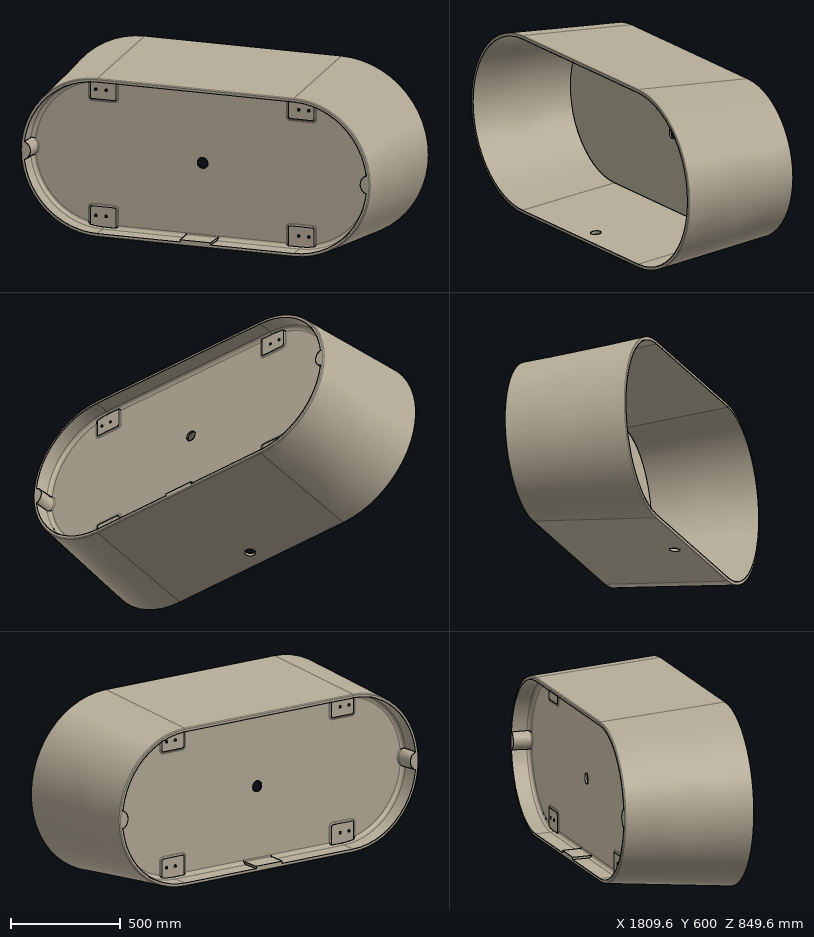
import cadquery as cq
import math

height = 600.0
straight_length = 960.0
rim_radius = 425.0
flare_angle = 5.0
flare = math.tan(math.radians(flare_angle))
rim_round = 2.0
base_round = 5.0
base_y = -height / 2
rim_y = height / 2
base_radius = rim_radius - height * flare

wall = 16.0
floor_thickness = 10.0
recess_depth = 90.0
recess_draft = 2.0
recess_round = 18.0
floor_y = base_y + recess_depth
basin_floor_y = floor_y + floor_thickness
recess_floor_radius = base_radius - wall - recess_depth * math.tan(math.radians(recess_draft))

drain_diameter = 50.0
overflow_diameter = 48.0
overflow_y = 215.0
overflow_cut_depth = 3 * wall

foot_round = 5.0
pad_foot_round = 10.0
same_place_tolerance = 0.1

pad_inner_x = 412.0
pad_outer_x = 555.0
pad_inner_z = 244.0
pad_outer_z = 400.0
pad_height = 4.0
pad_side_angle = 65.0
pad_corner_radius = 18.0
screw_hole_diameter = 11.0
screw_hole_depth = 8.0
screw_hole_xs = (470.0, 520.0)
screw_hole_z = 297.0

post_tip_radius = 45.0
post_center_x = 850.0
block_tip_width = 148.0
block_tip_z = -346.0
tip_growth = recess_depth * math.tan(math.radians(recess_draft))


def along_y(y):
    """Workplane at height y whose local axes are X and Z; extrusion runs toward -Y."""
    return cq.Workplane("XZ", origin=(0, y, 0))


def tapered_racetrack(y_start, y_end, end_radius, taper):
    """Solid racetrack from y_end down to y_start, narrowing toward -Y by the taper angle."""
    diameter = 2 * end_radius
    return (
        along_y(y_end)
        .slot2D(straight_length + diameter, diameter)
        .extrude(y_end - y_start, taper=taper)
    )


def make_shell():
    shell = tapered_racetrack(base_y, rim_y, rim_radius, flare_angle)
    shell = shell.faces(">Y").edges().fillet(rim_round)
    return shell.faces("<Y").edges().fillet(base_round)


def make_basin():
    inner_rim_radius = rim_radius - wall / math.cos(math.radians(flare_angle))
    return tapered_racetrack(basin_floor_y, rim_y, inner_rim_radius, flare_angle)


def stand_on_floor(feature, center_x, center_z, width, depth, radius):
    """Fillet the foot of a feature, using a slab that lies inside the floor."""
    margin = 2 * radius
    slab = (
        along_y(basin_floor_y)
        .center(center_x, center_z)
        .rect(width + 2 * margin, depth + 2 * margin)
        .extrude(floor_thickness)
    )
    foot_centers = [edge.Center() for edge in feature.faces(">Y").edges().vals()]
    joined = slab.union(feature)
    foot_edges = [
        edge
        for edge in joined.edges().vals()
        if any((edge.Center() - center).Length < same_place_tolerance for center in foot_centers)
    ]
    return joined.newObject(foot_edges).fillet(radius)


def make_post(x_side):
    center_x = x_side * post_center_x
    foot_radius = post_tip_radius + tip_growth
    post = (
        along_y(floor_y)
        .center(center_x, 0)
        .circle(foot_radius)
        .extrude(recess_depth, taper=recess_draft)
    )
    return stand_on_floor(post, center_x, 0, 2 * foot_radius, 2 * foot_radius, foot_round)


def make_block():
    width = block_tip_width + 2 * tip_growth
    top_z = block_tip_z + tip_growth
    depth = base_radius + top_z
    center_z = top_z - depth / 2
    block = (
        along_y(floor_y)
        .center(0, center_z)
        .rect(width, depth)
        .extrude(recess_depth, taper=recess_draft)
    )
    return stand_on_floor(block, 0, center_z, width, depth, foot_round)


def make_pad(x_side, z_side):
    width = pad_outer_x - pad_inner_x
    depth = pad_outer_z - pad_inner_z
    center_x = x_side * (pad_inner_x + pad_outer_x) / 2
    center_z = z_side * (pad_inner_z + pad_outer_z) / 2
    outline = cq.Sketch().rect(width, depth).vertices().fillet(pad_corner_radius)
    pad = (
        along_y(floor_y)
        .center(center_x, center_z)
        .placeSketch(outline)
        .extrude(pad_height, taper=pad_side_angle)
    )
    return stand_on_floor(pad, center_x, center_z, width, depth, pad_foot_round)


def make_screw_holes(x_side, z_side):
    return (
        along_y(floor_y - pad_height + screw_hole_depth)
        .pushPoints([(x_side * x, z_side * screw_hole_z) for x in screw_hole_xs])
        .circle(screw_hole_diameter / 2)
        .extrude(screw_hole_depth)
    )


def make_recess():
    """Hollow under the floor, leaving out the posts, block and pads that stand in it."""
    recess = tapered_racetrack(base_y, floor_y, recess_floor_radius, -recess_draft)
    recess = recess.faces(">Y").edges().fillet(recess_round)
    recess = recess.cut(make_block())
    for x_side in (-1, 1):
        recess = recess.cut(make_post(x_side))
        for z_side in (-1, 1):
            recess = recess.cut(make_pad(x_side, z_side))
            recess = recess.union(make_screw_holes(x_side, z_side))
    return recess


def make_drain():
    return along_y(basin_floor_y).circle(drain_diameter / 2).extrude(floor_thickness)


def make_overflow():
    return (
        cq.Workplane("XY", origin=(0, overflow_y, -rim_radius))
        .circle(overflow_diameter / 2)
        .extrude(overflow_cut_depth)
    )


result = make_shell().cut(make_basin()).cut(make_recess()).cut(make_drain()).cut(make_overflow())